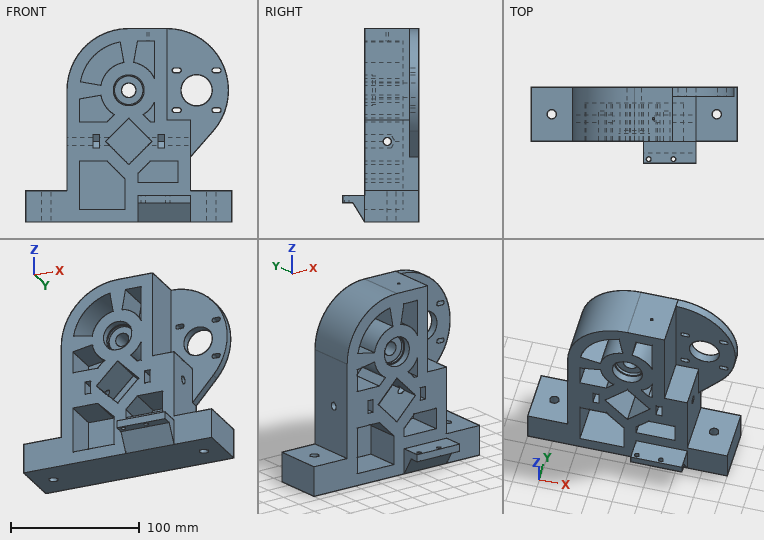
import cadquery as cq
import math

body_depth = 42.0
half_body = 48.0
base_length = 160.0
base_height = 24.5
shaft_z = 102.2
top_z = shaft_z + half_body
tower_right = 29.8
shoulder_z = 79.4
wall = 10.0

plate_thickness = 7.0
plate_round_x = 29.5
plate_tail_z = 50.5
motor_x = 52.6
motor_hole_diameter = 24.0
motor_bolt_spacing = 30.9
slot_length = 6.9
slot_width = 3.5

shaft_diameter = 11.0
bearing_diameter = 24.0
bearing_depth = 6.0
shoulder_diameter = 22.0
shoulder_depth = 8.6

pocket_depth = 30.0
ring_radius = 22.0
spoke_angle = 20.0
pocket_left = -half_body + wall

tube_z = 62.5
tube_side = 25.5
tube_guard_half_diagonal = 32.0
band_half_height = 15.0
bolt_y = 17.6
bolt_diameter = 6.0
nut_x = 25.3
nut_thickness = 4.8
nut_flats = 10.4

ledge_left = 7.0
ledge_top = 20.8
ledge_reach = 17.0
ledge_thickness = 6.0
ledge_flat = 7.8
ledge_hole_diameter = 3.5
ledge_hole_xs = (11.2, 30.4)
ledge_hole_inset = 3.2

base_hole_diameter = 7.0
base_hole_x = 64.0
top_hole_diameter = 1.8
top_hole_x = 14.9
top_hole_y = 17.6


def front_sketch(y=0.0):
    """Sketch plane facing the front; extruding by a negative length goes toward +Y."""
    return cq.Workplane("XZ", origin=(0, y, 0))


def box(x_min, x_max, z_min, z_max, depth):
    """Block reaching back from the front face."""
    block = cq.Workplane("XY").box(x_max - x_min, depth, z_max - z_min, centered=False)
    return block.translate((x_min, 0, z_min))


def diamond(half_diagonal, depth):
    """Square prism on its corner, centred on the tube axis."""
    corners = [
        (half_diagonal, tube_z),
        (0, tube_z + half_diagonal),
        (-half_diagonal, tube_z),
        (0, tube_z - half_diagonal),
    ]
    return front_sketch().polyline(corners).close().extrude(-depth)


def arched_block(radius, right, bottom, depth):
    """Block with a quarter-round upper left corner about the shaft axis."""
    diagonal = radius * math.sqrt(0.5)
    return (
        front_sketch()
        .moveTo(-radius, bottom)
        .lineTo(-radius, shaft_z)
        .threePointArc((-diagonal, shaft_z + diagonal), (0, shaft_z + radius))
        .lineTo(right, shaft_z + radius)
        .lineTo(right, bottom)
        .close()
        .extrude(-depth)
    )


def motor_plate():
    """Thin plate with a round end, its lower edge tangent to the round."""
    radius = half_body
    dx = half_body - plate_round_x
    dz = plate_tail_z - shaft_z
    tangent_angle = math.atan2(dz, dx) + math.acos(radius / math.hypot(dx, dz))
    tangent = (
        plate_round_x + radius * math.cos(tangent_angle),
        shaft_z + radius * math.sin(tangent_angle),
    )
    return (
        front_sketch(body_depth - plate_thickness)
        .moveTo(0, top_z)
        .lineTo(plate_round_x, top_z)
        .threePointArc((plate_round_x + radius, shaft_z), tangent)
        .lineTo(half_body, plate_tail_z)
        .lineTo(0, plate_tail_z)
        .close()
        .extrude(-plate_thickness)
    )


def motor_openings():
    hole = front_sketch().center(motor_x, shaft_z).circle(motor_hole_diameter / 2).extrude(-body_depth)
    slots = (
        front_sketch()
        .center(motor_x, shaft_z)
        .rect(motor_bolt_spacing, motor_bolt_spacing, forConstruction=True)
        .vertices()
        .slot2D(slot_length, slot_width)
        .extrude(-body_depth)
    )
    return hole.union(slots)


def shaft_bore(diameter, depth):
    return front_sketch().center(0, shaft_z).circle(diameter / 2).extrude(-depth)


def spoke(direction):
    """Wedge widening outward from the shaft axis, centred on a direction in degrees."""
    reach = 2 * half_body
    points = [(0, shaft_z)]
    for side in (-1, 1):
        angle = math.radians(direction + side * spoke_angle / 2)
        points.append((reach * math.cos(angle), shaft_z + reach * math.sin(angle)))
    return front_sketch().polyline(points).close().extrude(-pocket_depth)


def pockets():
    """Pockets left between the bearing ring, its spokes and the tube surround."""
    upper = arched_block(half_body - wall, tower_right - wall, tube_z + band_half_height, pocket_depth)
    upper = upper.cut(shaft_bore(2 * ring_radius, pocket_depth)).cut(spoke(90)).cut(spoke(180))
    lower_top = tube_z - band_half_height
    lower_left = box(pocket_left, ledge_left - wall, wall, lower_top, pocket_depth)
    lower_right = box(ledge_left, half_body - wall, ledge_top + wall, lower_top, pocket_depth)
    return upper.union(lower_left).union(lower_right).cut(diamond(tube_guard_half_diagonal, pocket_depth))


def clamp_bolt():
    """Cross bolt hole with a nut slot on each side of the tube, open to the front."""
    cutter = (
        cq.Workplane("YZ", origin=(-half_body, bolt_y, tube_z))
        .circle(bolt_diameter / 2)
        .extrude(2 * half_body)
    )
    half_flats = nut_flats / 2
    nut_corner = nut_flats / math.sqrt(3)
    for x in (-nut_x, nut_x):
        slot = (
            cq.Workplane("YZ", origin=(x - nut_thickness / 2, 0, tube_z))
            .moveTo(0, -half_flats)
            .lineTo(bolt_y + nut_corner / 2, -half_flats)
            .lineTo(bolt_y + nut_corner, 0)
            .lineTo(bolt_y + nut_corner / 2, half_flats)
            .lineTo(0, half_flats)
            .close()
            .extrude(nut_thickness)
        )
        cutter = cutter.union(slot)
    return cutter


def ledge():
    """Front shelf carried on a sloping underside, with two screw holes."""
    shelf = (
        cq.Workplane("YZ", origin=(ledge_left, 0, 0))
        .polyline([
            (0, 0),
            (-ledge_reach + ledge_flat, ledge_top - ledge_thickness),
            (-ledge_reach, ledge_top - ledge_thickness),
            (-ledge_reach, ledge_top),
            (0, ledge_top),
        ])
        .close()
        .extrude(half_body - ledge_left)
    )
    for x in ledge_hole_xs:
        shelf = shelf.cut(vertical_hole(x, ledge_hole_inset - ledge_reach, ledge_hole_diameter, 0, ledge_top))
    return shelf


def vertical_hole(x, y, diameter, z_min, z_max):
    return cq.Workplane("XY", origin=(x, y, z_min)).circle(diameter / 2).extrude(z_max - z_min)


result = box(-base_length / 2, base_length / 2, 0, base_height, body_depth)
result = result.union(arched_block(half_body, tower_right, 0, body_depth))
result = result.union(box(0, half_body, 0, shoulder_z, body_depth))
result = result.union(motor_plate())

result = result.cut(motor_openings())
result = result.cut(pockets())
result = result.cut(diamond(tube_side / math.sqrt(2), pocket_depth))
result = result.cut(clamp_bolt())
result = result.cut(shaft_bore(bearing_diameter, bearing_depth))
result = result.cut(shaft_bore(shoulder_diameter, shoulder_depth))
result = result.cut(shaft_bore(shaft_diameter, body_depth))
for hole_x in (-base_hole_x, base_hole_x):
    result = result.cut(vertical_hole(hole_x, body_depth / 2, base_hole_diameter, 0, base_height))
result = result.cut(vertical_hole(top_hole_x, top_hole_y, top_hole_diameter, top_z - wall, top_z))

result = result.union(ledge())